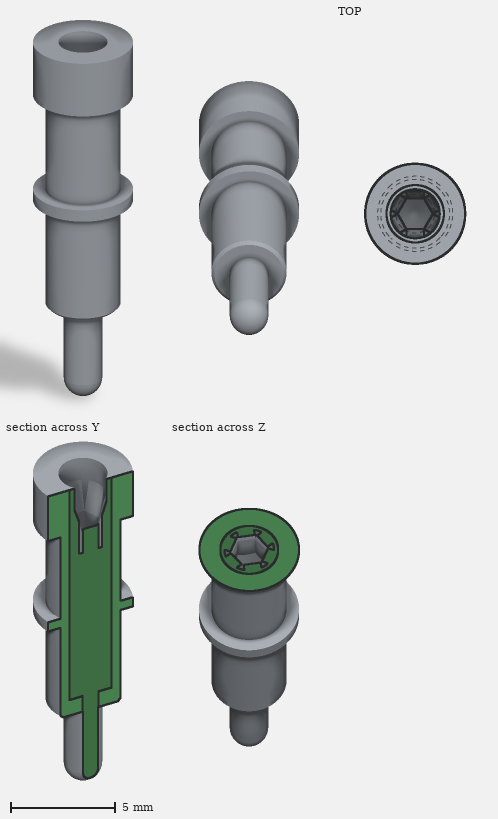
import cadquery as cq
import math

total_length = 18.75
housing_length = 14.0
head_length = 2.8
collar_depth = 7.8
collar_thickness = 0.6
shoulder_wall = 1.0
shoulder_depth = housing_length - shoulder_wall

flange_diameter = 4.8
sleeve_diameter = 3.6
barrel_diameter = 2.75
tip_diameter = 1.85
sleeve_chamfer = 0.15

bore_diameter = 2.35
bore_depth = 4.0
drill_point_angle = 118.0
bore_radius = bore_diameter / 2
drill_point_height = bore_radius / math.tan(math.radians(drill_point_angle / 2))

rib_count = 6
hex_across_flats = 1.47
rib_top_depth = 1.37
lead_in_slope = 75.0
rib_face_radius = hex_across_flats / 2
rib_width = 2 * rib_face_radius * math.tan(math.pi / rib_count)
lead_in_height = (bore_radius - rib_face_radius) * math.tan(math.radians(lead_in_slope))


def cylinder(diameter, top_depth, bottom_depth):
    """Upright cylinder on the Z axis between two depths."""
    return (
        cq.Workplane("XY")
        .workplane(offset=-bottom_depth)
        .circle(diameter / 2)
        .extrude(bottom_depth - top_depth)
    )


def make_pin_outside():
    """Solid pin: barrel, shoulder hidden in the housing, and round-ended tip."""
    ball_depth = total_length - tip_diameter / 2
    barrel = cylinder(barrel_diameter, 0, shoulder_depth)
    tip = cylinder(tip_diameter, shoulder_depth, ball_depth)
    ball = cq.Workplane("XY").sphere(tip_diameter / 2).translate((0, 0, -ball_depth))
    return barrel.union(tip).union(ball)


def make_drilled_bore():
    """Straight bore that closes in a drill point."""
    return (
        cq.Workplane("XZ")
        .polyline([
            (0, 0),
            (bore_radius, 0),
            (bore_radius, -bore_depth),
            (0, -bore_depth - drill_point_height),
        ])
        .close()
        .revolve(360, (0, 0, 0), (0, 1, 0))
    )


def make_rib():
    """Rib on the +Y side, with a steep lead-in from the bore wall to its flat inner face."""
    half_width = rib_width / 2
    wall_y = math.sqrt(bore_radius**2 - half_width**2)
    rib_bottom_depth = bore_depth + drill_point_height
    rib = (
        cq.Workplane("XY")
        .workplane(offset=-rib_top_depth)
        .center(0, (rib_face_radius + bore_radius) / 2)
        .rect(rib_width, bore_radius - rib_face_radius)
        .extrude(rib_top_depth - rib_bottom_depth)
    )
    lead_in = (
        cq.Workplane("XY")
        .workplane(offset=-rib_top_depth)
        .moveTo(-half_width, 0)
        .lineTo(half_width, 0)
        .lineTo(half_width, wall_y)
        .threePointArc((0, bore_radius), (-half_width, wall_y))
        .close()
        .workplane(offset=-lead_in_height)
        .moveTo(-half_width, 0)
        .lineTo(half_width, 0)
        .lineTo(half_width, rib_face_radius)
        .lineTo(-half_width, rib_face_radius)
        .close()
        .loft(ruled=True)
    )
    return rib.cut(lead_in)


def make_socket():
    """Space of the bore left open between the ribs."""
    socket = make_drilled_bore()
    rib = make_rib()
    for index in range(rib_count):
        angle = index * 360 / rib_count
        socket = socket.cut(rib.rotate((0, 0, 0), (0, 0, 1), angle))
    return socket


def make_pin():
    return make_pin_outside().cut(make_socket())


def make_housing():
    """Sleeve with a head and a collar, bored to fit the pin."""
    sleeve = cylinder(sleeve_diameter, 0, housing_length).faces("<Z").chamfer(sleeve_chamfer)
    head = cylinder(flange_diameter, 0, head_length)
    collar = cylinder(flange_diameter, collar_depth, collar_depth + collar_thickness)
    return sleeve.union(head).union(collar).cut(make_pin_outside())


housing = make_housing()
pin = make_pin()
result = cq.Compound.makeCompound([housing.solids().val(), pin.solids().val()])